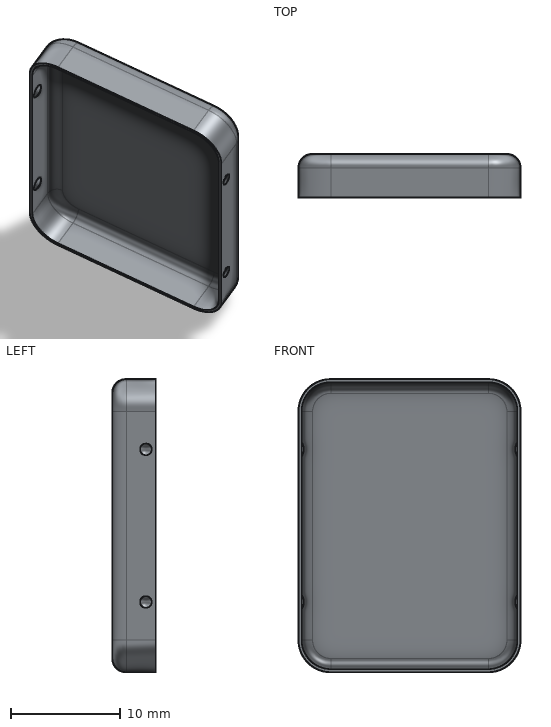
import cadquery as cq
import math

width = 20.4
depth = 4.0
height = 26.9
wall = 0.3
corner_radius = 2.99
back_radius = 1.3

dimple_rim_radius = 0.55
dimple_depth = 0.22
bump_rim_radius = 0.65
bump_height = 0.22
dimple_from_opening = 0.91
dimple_spacing = 14.0
stem_length = wall / 2


def rounded_block(offset):
    """Tray envelope shrunk by offset on its sides and back, with a rounded back rim."""
    return (
        cq.Workplane("XZ")
        .rect(width - 2 * offset, height - 2 * offset)
        .extrude(-(depth - offset))
        .edges("|Y")
        .fillet(corner_radius - offset)
        .faces(">Y")
        .edges()
        .fillet(back_radius - offset)
    )


def spherical_cap(side, face_x, z, rim_radius, cap_height):
    """Dome rising from face_x toward the tray middle, on a short stem that reaches outward."""
    base_x = face_x + stem_length
    tip_x = face_x - cap_height
    ball_radius = (rim_radius**2 + cap_height**2) / (2 * cap_height)
    half_angle = math.atan2(rim_radius, ball_radius - cap_height) / 2
    arc_x = tip_x + ball_radius * (1 - math.cos(half_angle))
    arc_radius = ball_radius * math.sin(half_angle)
    return (
        cq.Workplane("XY")
        .moveTo(side * base_x, 0)
        .lineTo(side * tip_x, 0)
        .threePointArc((side * arc_x, arc_radius), (side * face_x, rim_radius))
        .lineTo(side * base_x, rim_radius)
        .close()
        .revolve(360, (0, 0, 0), (1, 0, 0))
        .translate((0, dimple_from_opening, z))
    )


tray = rounded_block(0).cut(rounded_block(wall))
outer_face_x = width / 2
inner_face_x = outer_face_x - wall

for side in (-1, 1):
    for level in (-1, 1):
        z = level * dimple_spacing / 2
        tray = tray.union(spherical_cap(side, inner_face_x, z, bump_rim_radius, bump_height))
        tray = tray.cut(spherical_cap(side, outer_face_x, z, dimple_rim_radius, dimple_depth))

result = tray